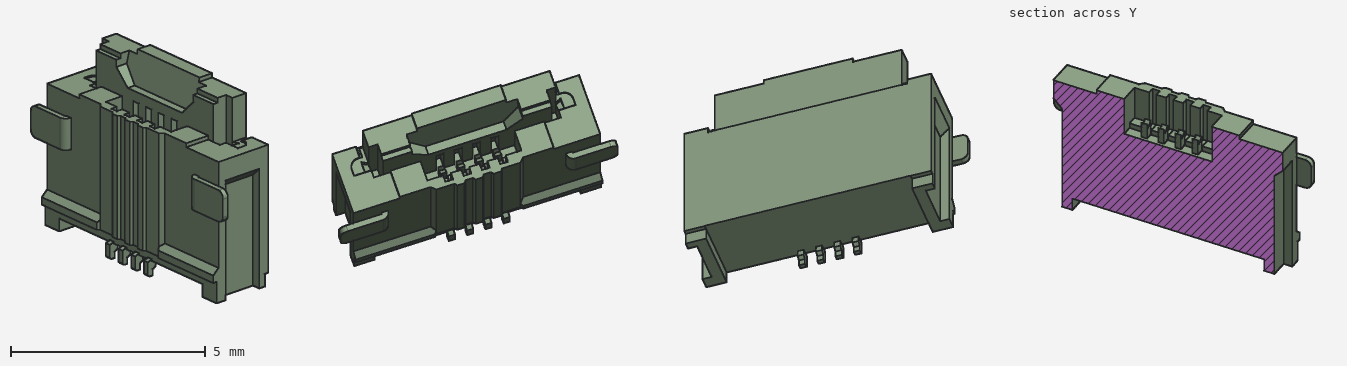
import cadquery as cq
import math


HOUSING_HALF_WIDTH = 3.345
HOUSING_TOP = 3.99
HOUSING_FRONT = 0.2
HOUSING_BACK = 1.9
BACK_STEP_TOP = 0.405
BACK_STEP_DEPTH = 0.11
UNDERSIDE = 0.41
FOOT_BOTTOM = 0.05
FOOT_INNER_X = 2.79
SKIRT_FRONT = 0.135
SKIRT_TOP = 0.65

RAIL_FRONT = 0.02
PAD_FRONT = 0.09
PAD_HALF_WIDTH = 1.14
PAD_ROOT_Y = 0.4
RAIL_FULL_HEIGHT = 0.86
RAIL_SLOPE_TOP = 1.03
RAIL_END_BEVEL = 0.05
RIDGE_BASE_WIDTH = 0.3
RIDGE_BEVEL = 0.05
TONGUE_HALF_WIDTH = 2.085
TONGUE_TOP = 4.1

SIDE_GROOVE_FRONT = 0.44
SIDE_GROOVE_BACK = 1.59
SIDE_GROOVE_DEPTH = 0.25
SIDE_GROOVE_TOP = 3.405

PLUG_HALF_WIDTH = 2.535
PLUG_FRONT = 0.95
PLUG_BACK = 1.85
PLUG_TOP = 5.18
PLUG_NOTCH_Y = 1.38
PLUG_NOTCH_WIDTH = 0.25
PLUG_LIP_HEIGHT = 0.135
PLUG_LIP_DEPTH = 0.14
CROWN_HALF_WIDTH = 1.21
CROWN_TOP = 5.3

RECESS_HALF_WIDTH = 1.5
RECESS_FLOOR_HALF_WIDTH = 1.06
RECESS_FLOOR = 4.4
RECESS_SHOULDER = 4.845
RECESS_FLOOR_Y = 1.19
RECESS_CROWN_Y = 1.425

WINDOW_HALF_WIDTH = 1.275
WINDOW_FRONT = 0.4
WINDOW_SPLIT_Y = 0.67
WINDOW_FRONT_FLOOR = 3.15
WINDOW_BACK_FLOOR = 3.0
CONTACT_COUNT = 4
CONTACT_PITCH = 0.495
CONTACT_SLOT_WIDTH = 0.21
CONTACT_SLOT_FRONT = 0.22
CONTACT_SLOT_BACK = 1.24
CONTACT_WIDTH = 0.165
CONTACT_BACK = 0.86
CONTACT_VALLEY_Y = 0.81
CONTACT_VALLEY = 3.3
CONTACT_PEAK = 3.45
CONTACT_ROOT = 0.075

LEAD_TOP = 0.465
LEAD_SHOULDER = 0.41
LEAD_DEPTH = 0.165
LEAD_BEVEL = 0.05
LEAD_ARM_BOTTOM = 0.17
LEAD_ARM_SHOULDER = 0.24
LEAD_ARM_BACK = 0.27

EAR_TIP_X = 3.75
EAR_BOTTOM = 2.45
EAR_TOP = 3.34
EAR_THICKNESS = 0.165
EAR_BEND_RADIUS = 0.2
EAR_BEND_X = 2.61
EAR_ROOT_Y = 0.4
EAR_CORNER_RADIUS = 0.19

LATCH_DEPTH = 0.045
LATCH_OUTER_X = 3.0
LATCH_FRONT = 1.16
LATCH_ARC_BACK = 1.58
LATCH_ARC_RADIUS = 0.24
LATCH_NECK_X = 2.63
LATCH_NECK_BACK = 1.83
SLIT_OUTER_X = 2.7
REAR_NOTCH_DEPTH = 0.15
REAR_NOTCH_SLOPE_BACK = 1.72
KEY_HOLE_DEPTH = 0.225
KEY_HOLE_BACK = 1.47
CORNER_WELL_DEPTH = 0.75


def box(x0, x1, y0, y1, z0, z1):
    """Box between two opposite corners."""
    return cq.Workplane("XY").box(x1 - x0, y1 - y0, z1 - z0, centered=False).translate((x0, y0, z0))


def centred_box(half_width, y0, y1, z0, z1):
    return box(-half_width, half_width, y0, y1, z0, z1)


def side_prism(points, x0, x1):
    """Prism along X from a (Y, Z) outline."""
    return cq.Workplane("YZ").workplane(offset=x0).polyline(points).close().extrude(x1 - x0)


def plan_prism(points, z0, z1):
    """Prism along Z from an (X, Y) outline."""
    return cq.Workplane("XY").workplane(offset=z0).polyline(points).close().extrude(z1 - z0)


def both_sides(shape):
    """The shape together with its mirror image about X = 0."""
    return shape.union(shape.mirror("YZ"))


def row_positions(count, pitch):
    return [(i - (count - 1) / 2) * pitch for i in range(count)]


def housing():
    step_back = HOUSING_BACK - BACK_STEP_DEPTH
    outline = [
        (SKIRT_FRONT, FOOT_BOTTOM),
        (SKIRT_FRONT, SKIRT_TOP),
        (HOUSING_FRONT, SKIRT_TOP),
        (HOUSING_FRONT, HOUSING_TOP),
        (HOUSING_BACK, HOUSING_TOP),
        (HOUSING_BACK, BACK_STEP_TOP),
        (step_back, BACK_STEP_TOP),
        (step_back, FOOT_BOTTOM),
    ]
    body = side_prism(outline, -HOUSING_HALF_WIDTH, HOUSING_HALF_WIDTH)
    between_feet = centred_box(FOOT_INNER_X, 0, HOUSING_BACK, 0, UNDERSIDE)
    tongue = centred_box(TONGUE_HALF_WIDTH, HOUSING_FRONT, PLUG_FRONT, HOUSING_TOP, TONGUE_TOP)
    return body.cut(between_feet).union(tongue)


def ridged_pad():
    """Bevelled central pad on the housing front, with vertical ridges between the contact rows."""
    pad_base = PAD_HALF_WIDTH + HOUSING_FRONT - PAD_FRONT
    outline = [(-pad_base, HOUSING_FRONT), (-PAD_HALF_WIDTH, PAD_FRONT)]
    for x in row_positions(CONTACT_COUNT - 1, CONTACT_PITCH):
        base = RIDGE_BASE_WIDTH / 2
        crest = base - RIDGE_BEVEL
        outline += [(x - base, PAD_FRONT), (x - crest, RAIL_FRONT)]
        outline += [(x + crest, RAIL_FRONT), (x + base, PAD_FRONT)]
    outline += [(PAD_HALF_WIDTH, PAD_FRONT), (pad_base, HOUSING_FRONT)]
    outline += [(pad_base, PAD_ROOT_Y), (-pad_base, PAD_ROOT_Y)]
    return plan_prism(outline, SKIRT_TOP, TONGUE_TOP)


def front_rails():
    """Sloped ledges along the foot of the housing front, either side of the pad."""
    profile = [
        (HOUSING_FRONT, SKIRT_TOP),
        (RAIL_FRONT, SKIRT_TOP),
        (RAIL_FRONT, RAIL_FULL_HEIGHT),
        (HOUSING_FRONT, RAIL_SLOPE_TOP),
    ]
    plan = [
        (PAD_HALF_WIDTH, HOUSING_FRONT),
        (PAD_HALF_WIDTH, PAD_FRONT),
        (PAD_HALF_WIDTH + RAIL_END_BEVEL, RAIL_FRONT),
        (HOUSING_HALF_WIDTH, RAIL_FRONT),
        (HOUSING_HALF_WIDTH, HOUSING_FRONT),
    ]
    rail = side_prism(profile, PAD_HALF_WIDTH, HOUSING_HALF_WIDTH)
    return both_sides(rail.intersect(plan_prism(plan, SKIRT_TOP, RAIL_SLOPE_TOP)))


def side_grooves():
    """Grooves open at the bottom; the upper end slopes at 45 degrees."""
    floor_x = HOUSING_HALF_WIDTH - SIDE_GROOVE_DEPTH
    outline = [
        (HOUSING_HALF_WIDTH, 0),
        (floor_x, 0),
        (floor_x, SIDE_GROOVE_TOP - SIDE_GROOVE_DEPTH),
        (HOUSING_HALF_WIDTH, SIDE_GROOVE_TOP),
    ]
    groove = cq.Workplane("XZ", origin=(0, SIDE_GROOVE_BACK, 0)).polyline(outline).close()
    return both_sides(groove.extrude(SIDE_GROOVE_BACK - SIDE_GROOVE_FRONT))


def plug():
    nose_half_width = PLUG_HALF_WIDTH - PLUG_NOTCH_WIDTH
    foot = HOUSING_TOP - CORNER_WELL_DEPTH
    block = centred_box(PLUG_HALF_WIDTH, PLUG_NOTCH_Y, PLUG_BACK, foot, PLUG_TOP)
    nose = centred_box(nose_half_width, PLUG_FRONT, PLUG_NOTCH_Y, foot, PLUG_TOP)
    lip_back = PLUG_FRONT + PLUG_LIP_DEPTH
    lip = centred_box(nose_half_width, PLUG_FRONT, lip_back, PLUG_TOP - PLUG_LIP_HEIGHT, PLUG_TOP)
    crown = centred_box(CROWN_HALF_WIDTH, PLUG_NOTCH_Y, PLUG_BACK, PLUG_TOP, CROWN_TOP)
    return block.union(nose).cut(lip).union(crown).cut(plug_recess())


def plug_recess():
    """Recess with slanted lower corners and a back wall leaning towards the rear."""
    lean = [
        (0, RECESS_FLOOR),
        (RECESS_FLOOR_Y, RECESS_FLOOR),
        (RECESS_CROWN_Y, CROWN_TOP),
        (0, CROWN_TOP),
    ]
    face = [
        (-RECESS_FLOOR_HALF_WIDTH, RECESS_FLOOR),
        (RECESS_FLOOR_HALF_WIDTH, RECESS_FLOOR),
        (RECESS_HALF_WIDTH, RECESS_SHOULDER),
        (RECESS_HALF_WIDTH, CROWN_TOP),
        (-RECESS_HALF_WIDTH, CROWN_TOP),
        (-RECESS_HALF_WIDTH, RECESS_SHOULDER),
    ]
    front_face = cq.Workplane("XZ").polyline(face).close().extrude(-HOUSING_BACK)
    return side_prism(lean, -RECESS_HALF_WIDTH, RECESS_HALF_WIDTH).intersect(front_face)


def corner_wells():
    """Open wells in the housing at the notched front corners of the plug."""
    inner_x = PLUG_HALF_WIDTH - PLUG_NOTCH_WIDTH
    well_floor = HOUSING_TOP - CORNER_WELL_DEPTH
    return both_sides(box(inner_x, PLUG_HALF_WIDTH, PLUG_FRONT, PLUG_NOTCH_Y, well_floor, HOUSING_TOP))


def latch_pockets():
    """Shallow round-backed pockets beside the plug, each with a key hole whose floor falls to the rear."""
    arc_x = LATCH_OUTER_X - LATCH_ARC_RADIUS
    arc_y = LATCH_ARC_BACK - LATCH_ARC_RADIUS
    arc_reach = LATCH_ARC_RADIUS * math.cos(math.radians(45))
    pocket = (
        cq.Workplane("XY", origin=(0, 0, HOUSING_TOP))
        .moveTo(PLUG_HALF_WIDTH, LATCH_FRONT)
        .lineTo(LATCH_OUTER_X, LATCH_FRONT)
        .lineTo(LATCH_OUTER_X, arc_y)
        .threePointArc((arc_x + arc_reach, arc_y + arc_reach), (arc_x, LATCH_ARC_BACK))
        .lineTo(LATCH_NECK_X, LATCH_ARC_BACK)
        .lineTo(LATCH_NECK_X, LATCH_NECK_BACK)
        .lineTo(PLUG_HALF_WIDTH, LATCH_NECK_BACK)
        .close()
        .extrude(-LATCH_DEPTH)
    )
    key_outline = [
        (PLUG_HALF_WIDTH, LATCH_FRONT),
        (SLIT_OUTER_X, LATCH_FRONT),
        (SLIT_OUTER_X, KEY_HOLE_BACK),
        (PLUG_HALF_WIDTH, PLUG_NOTCH_Y),
    ]
    key_plan = plan_prism(key_outline, HOUSING_TOP - KEY_HOLE_DEPTH, HOUSING_TOP)
    key_profile = [
        (LATCH_FRONT, HOUSING_TOP),
        (LATCH_FRONT, HOUSING_TOP - LATCH_DEPTH),
        (KEY_HOLE_BACK, HOUSING_TOP - KEY_HOLE_DEPTH),
        (KEY_HOLE_BACK, HOUSING_TOP),
    ]
    key_hole = key_plan.intersect(side_prism(key_profile, PLUG_HALF_WIDTH, SLIT_OUTER_X))
    return both_sides(pocket.union(key_hole))


def rear_notch():
    """Lowered rear wall behind the plug, reaching forward as a narrow slit outside each latch neck."""
    notch_floor = HOUSING_TOP - REAR_NOTCH_DEPTH
    slit_profile = [
        (LATCH_ARC_BACK, HOUSING_TOP),
        (LATCH_ARC_BACK, HOUSING_TOP - LATCH_DEPTH),
        (REAR_NOTCH_SLOPE_BACK, notch_floor),
        (HOUSING_BACK, notch_floor),
        (HOUSING_BACK, HOUSING_TOP),
    ]
    slit = side_prism(slit_profile, LATCH_NECK_X, SLIT_OUTER_X)
    wall_cut = centred_box(SLIT_OUTER_X, LATCH_NECK_BACK, HOUSING_BACK, notch_floor, HOUSING_TOP)
    return both_sides(slit).union(wall_cut)


def contact_window():
    """Stepped window in front of the plug, with a slot through tongue and plug face at every contact."""
    front = centred_box(WINDOW_HALF_WIDTH, WINDOW_FRONT, WINDOW_SPLIT_Y, WINDOW_FRONT_FLOOR, TONGUE_TOP)
    back = centred_box(WINDOW_HALF_WIDTH, WINDOW_SPLIT_Y, PLUG_FRONT, WINDOW_BACK_FLOOR, TONGUE_TOP)
    window = front.union(back)
    for x in row_positions(CONTACT_COUNT, CONTACT_PITCH):
        x0 = x - CONTACT_SLOT_WIDTH / 2
        x1 = x + CONTACT_SLOT_WIDTH / 2
        slot = box(x0, x1, CONTACT_SLOT_FRONT, CONTACT_SLOT_BACK, WINDOW_BACK_FLOOR, TONGUE_TOP)
        window = window.union(slot)
    return window


def contact(x):
    """V-topped contact tip standing on the window floor, rooted a little below it."""
    profile = [
        (WINDOW_SPLIT_Y, WINDOW_BACK_FLOOR - CONTACT_ROOT),
        (WINDOW_SPLIT_Y, CONTACT_PEAK),
        (CONTACT_VALLEY_Y, CONTACT_VALLEY),
        (CONTACT_BACK, CONTACT_PEAK),
        (CONTACT_BACK, WINDOW_BACK_FLOOR - CONTACT_ROOT),
    ]
    return side_prism(profile, x - CONTACT_WIDTH / 2, x + CONTACT_WIDTH / 2)


def lead(x):
    """Solder lead below the housing, joined to its underside by a sloped arm."""
    profile = [
        (SKIRT_FRONT, LEAD_TOP),
        (0, LEAD_SHOULDER),
        (0, LEAD_BEVEL),
        (LEAD_BEVEL, 0),
        (LEAD_DEPTH, 0),
        (LEAD_DEPTH, LEAD_ARM_BOTTOM),
        (LEAD_ARM_BACK, LEAD_ARM_SHOULDER),
        (LEAD_ARM_BACK, LEAD_TOP),
    ]
    return side_prism(profile, x - CONTACT_WIDTH / 2, x + CONTACT_WIDTH / 2)


def ears():
    """Flat hold-down tabs that bend back into the housing front at their inner ends."""
    inner_radius = EAR_BEND_RADIUS - EAR_THICKNESS
    cos45 = math.cos(math.radians(45))

    def bend_point(radius):
        return EAR_BEND_X - radius * cos45, EAR_BEND_RADIUS - radius * cos45

    ear = (
        cq.Workplane("XY", origin=(0, 0, EAR_BOTTOM))
        .moveTo(EAR_TIP_X, 0)
        .lineTo(EAR_BEND_X, 0)
        .threePointArc(bend_point(EAR_BEND_RADIUS), (EAR_BEND_X - EAR_BEND_RADIUS, EAR_BEND_RADIUS))
        .lineTo(EAR_BEND_X - EAR_BEND_RADIUS, EAR_ROOT_Y)
        .lineTo(EAR_BEND_X - inner_radius, EAR_ROOT_Y)
        .lineTo(EAR_BEND_X - inner_radius, EAR_BEND_RADIUS)
        .threePointArc(bend_point(inner_radius), (EAR_BEND_X, EAR_THICKNESS))
        .lineTo(EAR_TIP_X, EAR_THICKNESS)
        .close()
        .extrude(EAR_TOP - EAR_BOTTOM)
    )
    return both_sides(ear.edges("|Y and >X").fillet(EAR_CORNER_RADIUS))


result = housing().union(ridged_pad()).union(front_rails())
result = result.cut(side_grooves()).cut(latch_pockets()).cut(rear_notch()).union(plug())
result = result.cut(corner_wells()).cut(contact_window()).union(ears())
for contact_x in row_positions(CONTACT_COUNT, CONTACT_PITCH):
    result = result.union(contact(contact_x)).union(lead(contact_x))